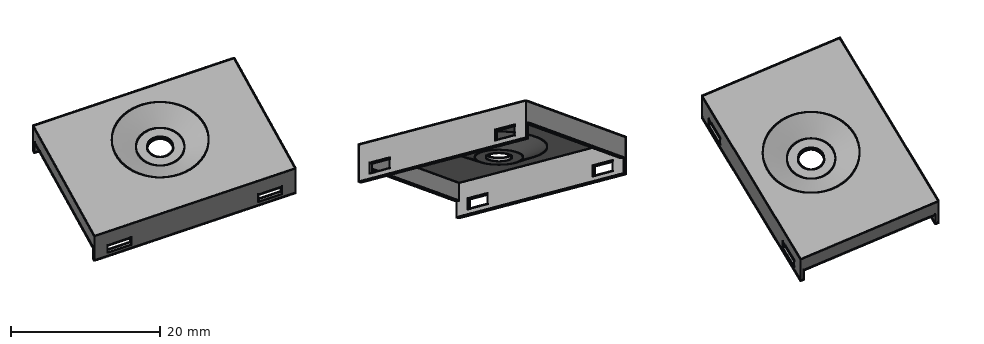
import cadquery as cq

width = 20.74
length = 29.4
height = 5.25
skin = 0.5
end_wall_height = 3.0

dish_from_side = 9.0
dish_top_diameter = 13.0
dish_floor_diameter = 6.5
dish_depth = 1.5
hole_diameter = 3.5

window_length = 3.5
window_height = 1.5
window_end_margin = 1.95

end_wall_bottom = height - end_wall_height
inner_width = width - 2 * skin
inner_length = length - 2 * skin
dish_x = dish_from_side - width / 2
window_y = length / 2 - window_end_margin - window_length / 2
window_z = end_wall_bottom - window_height / 2


def block(size_x, size_y, size_z):
    """Block centred in X and Y, standing on Z = 0."""
    return cq.Workplane("XY").box(size_x, size_y, size_z, centered=(True, True, False))


def dish_cone(top_z):
    """Solid frustum of the dish with its wide end at top_z."""
    return (
        cq.Workplane("XY", origin=(dish_x, 0, top_z - dish_depth))
        .circle(dish_floor_diameter / 2)
        .workplane(offset=dish_depth)
        .circle(dish_top_diameter / 2)
        .loft(ruled=True)
    )


def make_shell():
    """Box open at the bottom, with end walls shorter than the side walls."""
    cavity = block(inner_width, inner_length, height - skin)
    end_gap = block(inner_width, length, end_wall_bottom)
    return block(width, length, height).cut(cavity).cut(end_gap)


def add_dish(shell):
    """Dish pressed into the roof, one skin thick, with a hole through its floor."""
    hole = cq.Workplane("XY", origin=(dish_x, 0, 0)).circle(hole_diameter / 2).extrude(height)
    return shell.union(dish_cone(height - skin)).cut(dish_cone(height)).cut(hole)


def cut_windows(cover):
    """Pair of windows near the ends, passing through both side walls."""
    window_bars = (
        cq.Workplane("XY", origin=(0, 0, window_z))
        .pushPoints([(0, -window_y), (0, window_y)])
        .box(width, window_length, window_height)
    )
    return cover.cut(window_bars)


result = cut_windows(add_dish(make_shell()))